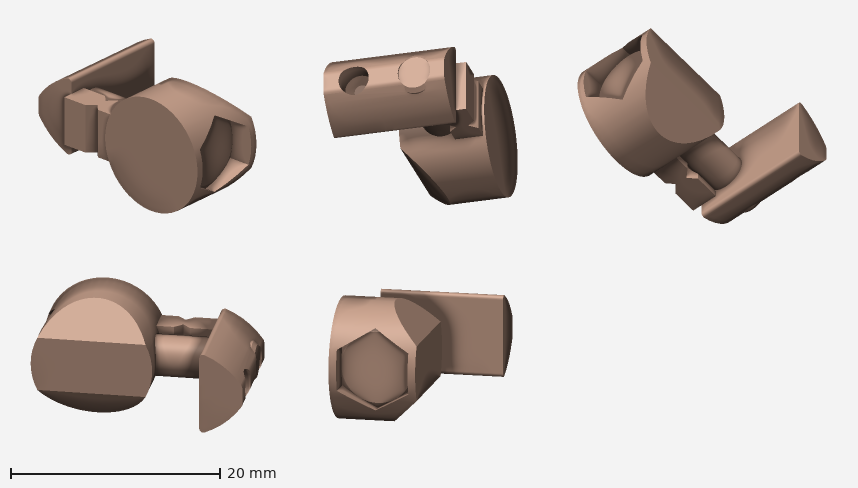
import cadquery as cq
import math


bar_depth = 4.2
bar_front_y = -3.0
bar_length = 12.0
bar_nose_half = 0.96
bar_back_half = 4.17
bar_flank_radius = 8.0
bar_nose_fillet = 0.8
bar_back_fillet = 0.39

blind_hole_y = 6.0
blind_hole_diameter = 3.0
blind_hole_floor_diameter = 1.4
blind_hole_straight_depth = 2.35
blind_hole_taper_angle = 30.0
blind_hole_taper_depth = (
    (blind_hole_diameter - blind_hole_floor_diameter) / 2 * math.tan(math.radians(blind_hole_taper_angle))
)

bolt_diameter = 4.0
bolt_tip_diameter = 3.23
bolt_tip_x = 0.2
bolt_length = 16.0
head_across_flats = 7.0
head_height = 2.8
head_chamfer_angle = 30.0
bolt_tip_chamfer = (bolt_diameter - bolt_tip_diameter) / 2
head_seat_x = bolt_tip_x + bolt_length
head_corner_diameter = head_across_flats / math.cos(math.radians(30))

knob_diameter = 11.8
knob_thickness = 8.5
knob_bevel = 3.2
knob_bore_diameter = 4.2
knob_radius = knob_diameter / 2
knob_x = 21.4 - knob_radius

link_height = 5.0
link_front_y = -4.0
link_thickness = 2.8
notch_x = 7.68
notch_depth = 0.8
link_back_y = link_front_y + link_thickness


def x_cylinder(diameter, start_x, length, y=0):
    return cq.Workplane("YZ", origin=(start_x, y, 0)).circle(diameter / 2).extrude(length)


def x_cone(start_diameter, end_diameter, start_x, length, y=0):
    return cq.Workplane(
        cq.Solid.makeCone(
            start_diameter / 2, end_diameter / 2, length, cq.Vector(start_x, y, 0), cq.Vector(1, 0, 0)
        )
    )


def x_hexagon(start_x, length):
    """Hexagonal prism with corners pointing up and down."""
    return (
        cq.Workplane("YZ", origin=(start_x, 0, 0))
        .transformed(rotate=(0, 0, 90))
        .polygon(6, head_corner_diameter)
        .extrude(length)
    )


def flank_midpoint():
    """Middle of the upper flank arc, from its two ends and its radius."""
    rise = bar_back_half - bar_nose_half
    chord = math.hypot(bar_depth, rise)
    bulge = bar_flank_radius - math.sqrt(bar_flank_radius**2 - (chord / 2) ** 2)
    mid_x = bar_depth / 2 - bulge * rise / chord
    mid_z = (bar_nose_half + bar_back_half) / 2 + bulge * bar_depth / chord
    return mid_x, mid_z


def make_bolt():
    tip = x_cone(bolt_tip_diameter, bolt_diameter, bolt_tip_x, bolt_tip_chamfer)
    shank = x_cylinder(bolt_diameter, bolt_tip_x + bolt_tip_chamfer, bolt_length - bolt_tip_chamfer)
    cone_growth = 2 * head_height / math.tan(math.radians(head_chamfer_angle))
    head_cone = x_cone(head_across_flats + cone_growth, head_across_flats, head_seat_x, head_height)
    head = x_hexagon(head_seat_x, head_height).intersect(head_cone)
    return tip.union(shank).union(head)


def make_bar(bolt):
    mid_x, mid_z = flank_midpoint()
    blank = (
        cq.Workplane("XZ", origin=(0, bar_front_y, 0))
        .moveTo(0, -bar_nose_half)
        .lineTo(0, bar_nose_half)
        .threePointArc((mid_x, mid_z), (bar_depth, bar_back_half))
        .lineTo(bar_depth, -bar_back_half)
        .threePointArc((mid_x, -mid_z), (0, -bar_nose_half))
        .close()
        .extrude(-bar_length)
    )
    blank = blank.edges("|Y and <X").fillet(bar_nose_fillet)
    blank = blank.edges("|Y and >X").fillet(bar_back_fillet)

    blind_hole = x_cylinder(blind_hole_diameter, 0, blind_hole_straight_depth, blind_hole_y)
    blind_hole_taper = x_cone(
        blind_hole_diameter,
        blind_hole_floor_diameter,
        blind_hole_straight_depth,
        blind_hole_taper_depth,
        blind_hole_y,
    )
    bolt_hole = x_cylinder(bolt_tip_diameter, 0, bar_depth)
    return blank.cut(blind_hole).cut(blind_hole_taper).cut(bolt_hole).cut(bolt)


def make_link():
    """Block from the bar to the knob, thinned by a V notch on each face."""
    return (
        cq.Workplane("XY", origin=(0, 0, -link_height / 2))
        .moveTo(bar_depth, link_front_y)
        .lineTo(notch_x - notch_depth, link_front_y)
        .lineTo(notch_x, link_front_y + notch_depth)
        .lineTo(notch_x + notch_depth, link_front_y)
        .lineTo(knob_x, link_front_y)
        .lineTo(knob_x, link_back_y)
        .lineTo(notch_x + notch_depth, link_back_y)
        .lineTo(notch_x, link_back_y - notch_depth)
        .lineTo(notch_x - notch_depth, link_back_y)
        .lineTo(bar_depth, link_back_y)
        .close()
        .extrude(link_height)
    )


def make_knob():
    half_thickness = knob_thickness / 2
    drum = (
        cq.Workplane("XZ", origin=(knob_x, -half_thickness, 0))
        .circle(knob_radius)
        .extrude(-knob_thickness)
    )
    bevelled_outline = (
        cq.Workplane("YZ", origin=(knob_x - knob_radius, 0, 0))
        .moveTo(-half_thickness, -knob_radius)
        .lineTo(half_thickness - knob_bevel, -knob_radius)
        .lineTo(half_thickness, -knob_radius + knob_bevel)
        .lineTo(half_thickness, knob_radius - knob_bevel)
        .lineTo(half_thickness - knob_bevel, knob_radius)
        .lineTo(-half_thickness, knob_radius)
        .close()
        .extrude(knob_diameter)
    )
    knob_end_x = knob_x + knob_radius
    bore = x_cylinder(knob_bore_diameter, bar_depth, head_seat_x - bar_depth)
    head_pocket = x_hexagon(head_seat_x, knob_end_x - head_seat_x)
    return drum.intersect(bevelled_outline).union(make_link()).cut(bore).cut(head_pocket)


bolt = make_bolt()
bar = make_bar(bolt)
knob = make_knob()

result = cq.Compound.makeCompound([body.solids().val() for body in (bar, bolt, knob)])